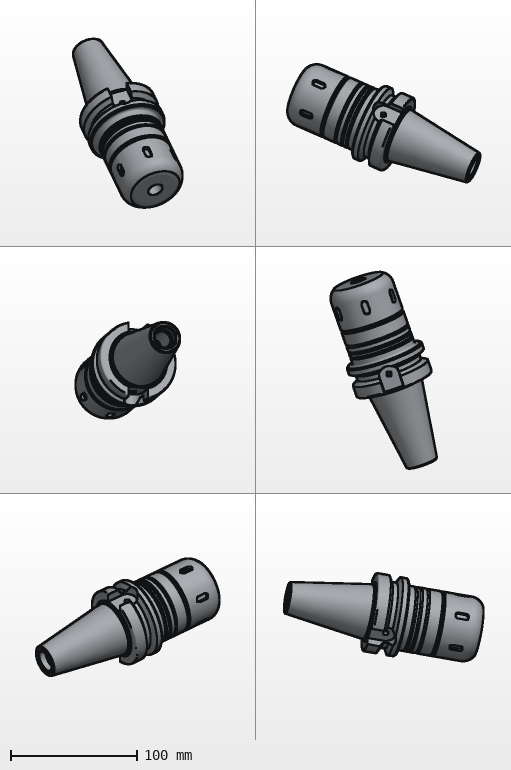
import cadquery as cq
import math

length = 155.4

gage_x = 65.5
gage_r = 44.5 / 2
taper_ratio = 7 / 24 / 2
tail_chamfer_length = 0.8
tail_chamfer_height = 1.0
tail_r = gage_r - taper_ratio * (gage_x - tail_chamfer_length)

undercut_r = 43.0 / 2
undercut_start_x = 66.0
undercut_end_x = 66.8

recess_x = 67.5
recess_inner_r = 22.4
recess_outer_r = 24.1
recess_chamfer = 0.5

flange_r = 63.0 / 2
flange_start_x = 67.1
flange_end_x = 92.5
flange_chamfer = 1.1
flange_face_fillet = 1.2
v_floor_r = 53.1 / 2
v_floor_start_x = 79.9
v_floor_end_x = 84.0
v_side_length = 2.8

body_r = 52.0 / 2
body_fillet = 1.9
nut_gap_r = 51.0 / 2
nut_gap_start_x = 120.3
nut_gap_end_x = 122.8
nut_gap_chamfer = 0.5
nose_arc_r = 11.2
nose_arc_start_x = 145.3
nose_arc_end_x = 155.0
nose_face_r = 17.0

ring_groove_starts = (98.4, 102.5, 108.3)
ring_groove_width = 1.9
ring_groove_depth = 0.5

mouth_r = 19.3 / 2
mouth_chamfer_length = 0.8
pilot_r = 17.0 / 2
pilot_depth = 6.8
thread_entry_r = 16.0 / 2
thread_r = 14.0 / 2
thread_end_x = 31.1
bore_r = 12.0 / 2

drive_slot_width = 16.2
drive_slot_floor_z = 22.7
drive_slot_centre_x = 80.0
coolant_r = 3.4 / 2
coolant_mouth_r = 4.0 / 2
coolant_mouth_depth = 4.7

spanner_slot_count = 6
spanner_slot_centre_x = 137.0
spanner_slot_length = 10.7
spanner_slot_width = 5.0
spanner_slot_depth = 3.0


def revolve_about_x(outline):
    return outline.close().revolve(360, (0, 0, 0), (1, 0, 0))


def nose_arc_point(x):
    """Point on the nose arc, which is tangent to the nut's cylinder."""
    run = x - nose_arc_start_x
    return x, body_r - nose_arc_r + math.sqrt(nose_arc_r**2 - run**2)


def make_outside():
    face_fillet_offset = flange_face_fillet * (1 - math.sqrt(0.5))
    body_fillet_offset = body_fillet * (1 - math.sqrt(0.5))
    nose_arc_mid_x = (nose_arc_start_x + nose_arc_end_x) / 2
    outline = (
        cq.Workplane("XY")
        .moveTo(0, 0)
        .lineTo(0, tail_r - tail_chamfer_height)
        .lineTo(tail_chamfer_length, tail_r)
        .lineTo(gage_x, gage_r)
        .lineTo(undercut_start_x, undercut_r)
        .lineTo(undercut_end_x, undercut_r)
        .lineTo(recess_x, recess_inner_r)
        .lineTo(recess_x, recess_outer_r - recess_chamfer)
        .lineTo(flange_start_x, recess_outer_r)
        .lineTo(flange_start_x, flange_r - flange_face_fillet)
        .threePointArc(
            (flange_start_x + face_fillet_offset, flange_r - face_fillet_offset),
            (flange_start_x + flange_face_fillet, flange_r),
        )
        .lineTo(v_floor_start_x - v_side_length, flange_r)
        .lineTo(v_floor_start_x, v_floor_r)
        .lineTo(v_floor_end_x, v_floor_r)
        .lineTo(v_floor_end_x + v_side_length, flange_r)
        .lineTo(flange_end_x - flange_chamfer, flange_r)
        .lineTo(flange_end_x, flange_r - flange_chamfer)
        .lineTo(flange_end_x, body_r + body_fillet)
        .threePointArc(
            (flange_end_x + body_fillet_offset, body_r + body_fillet_offset),
            (flange_end_x + body_fillet, body_r),
        )
        .lineTo(nut_gap_start_x, body_r)
        .lineTo(nut_gap_start_x + nut_gap_chamfer, nut_gap_r)
        .lineTo(nut_gap_end_x - nut_gap_chamfer, nut_gap_r)
        .lineTo(nut_gap_end_x, body_r)
        .lineTo(nose_arc_start_x, body_r)
        .threePointArc(nose_arc_point(nose_arc_mid_x), nose_arc_point(nose_arc_end_x))
        .lineTo(length, nose_face_r)
        .lineTo(length, 0)
    )
    return revolve_about_x(outline)


def make_bore():
    thread_chamfer = thread_entry_r - thread_r
    step_chamfer = thread_r - bore_r
    outline = (
        cq.Workplane("XY")
        .moveTo(0, 0)
        .lineTo(0, mouth_r)
        .lineTo(mouth_chamfer_length, pilot_r)
        .lineTo(pilot_depth, pilot_r)
        .lineTo(pilot_depth, thread_entry_r)
        .lineTo(pilot_depth + thread_chamfer, thread_r)
        .lineTo(thread_end_x, thread_r)
        .lineTo(thread_end_x + step_chamfer, bore_r)
        .lineTo(length, bore_r)
        .lineTo(length, 0)
    )
    return revolve_about_x(outline)


def make_ring_groove(start_x):
    """A ring whose section is a circular segment sunk into the body."""
    middle_x = start_x + ring_groove_width / 2
    outline = (
        cq.Workplane("XY")
        .moveTo(start_x, body_r)
        .threePointArc(
            (middle_x, body_r - ring_groove_depth),
            (start_x + ring_groove_width, body_r),
        )
    )
    return revolve_about_x(outline)


def make_drive_slot():
    """Round-ended slot on the +Z side, open toward the tail, with its coolant hole."""
    slot_height = flange_r - drive_slot_floor_z
    floor = cq.Workplane("XY", origin=(drive_slot_centre_x, 0, drive_slot_floor_z))
    run = drive_slot_centre_x - undercut_start_x
    slot = floor.circle(drive_slot_width / 2).extrude(slot_height)
    slot = slot.union(floor.center(-run / 2, 0).rect(run, drive_slot_width).extrude(slot_height))
    hole = floor.circle(coolant_r).extrude(-drive_slot_floor_z)
    mouth = floor.circle(coolant_mouth_r).extrude(-coolant_mouth_depth)
    return slot.union(hole).union(mouth)


def make_spanner_slot(angle):
    slot = (
        cq.Workplane("XY", origin=(spanner_slot_centre_x, 0, body_r - spanner_slot_depth))
        .slot2D(spanner_slot_length, spanner_slot_width)
        .extrude(2 * spanner_slot_depth)
    )
    return slot.rotate((0, 0, 0), (1, 0, 0), angle)


result = make_outside().cut(make_bore())

for groove_start_x in ring_groove_starts:
    result = result.cut(make_ring_groove(groove_start_x))

drive_slot = make_drive_slot()
result = result.cut(drive_slot).cut(drive_slot.mirror("XY"))

for index in range(spanner_slot_count):
    result = result.cut(make_spanner_slot(index * 360 / spanner_slot_count))